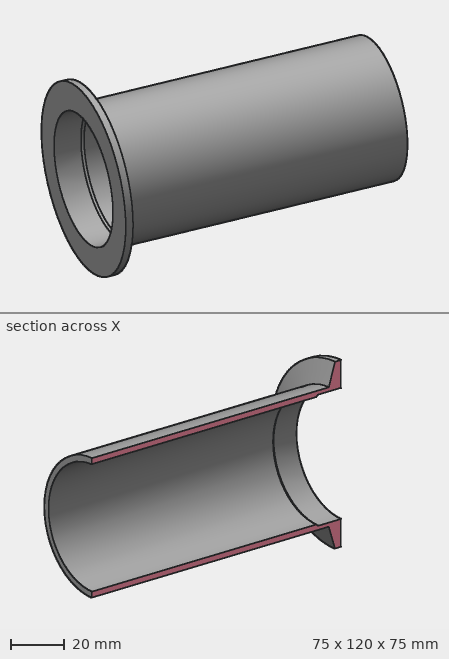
import cadquery as cq

total_length = 120.0
flange_diameter = 75.0
tube_diameter = 56.0
bore_diameter = 50.9

rim_thickness = 3.0
flange_depth = 6.0

recess_diameter = 52.3
recess_depth = 11.0
step_length = 1.0


def make_body():
    """Revolve the solid outer shape about the Y axis, flange face at Y = 0."""
    flange_radius = flange_diameter / 2
    tube_radius = tube_diameter / 2
    return (
        cq.Workplane("XY")
        .moveTo(0, 0)
        .lineTo(flange_radius, 0)
        .lineTo(flange_radius, rim_thickness)
        .lineTo(tube_radius, flange_depth)
        .lineTo(tube_radius, total_length)
        .lineTo(0, total_length)
        .close()
        .revolve(360, (0, 0, 0), (0, 1, 0))
    )


def make_passage():
    """Revolve the recess, conical step and through bore as one cutting shape."""
    recess_radius = recess_diameter / 2
    bore_radius = bore_diameter / 2
    return (
        cq.Workplane("XY")
        .moveTo(0, 0)
        .lineTo(recess_radius, 0)
        .lineTo(recess_radius, recess_depth)
        .lineTo(bore_radius, recess_depth + step_length)
        .lineTo(bore_radius, total_length)
        .lineTo(0, total_length)
        .close()
        .revolve(360, (0, 0, 0), (0, 1, 0))
    )


result = make_body().cut(make_passage())